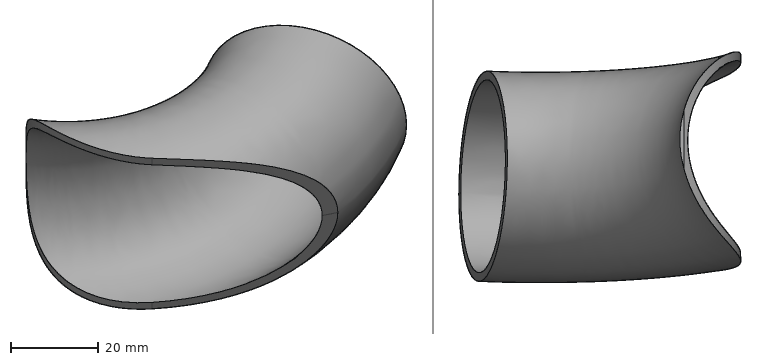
import math
import cadquery as cq


OUTER_DIAMETER = 48.3
WALL = 2.0
BEND_RADIUS = 57.0

OUTER_RADIUS = OUTER_DIAMETER / 2
INNER_RADIUS = OUTER_RADIUS - WALL

TRIM_ARC_RADIUS = BEND_RADIUS / 2
TRIM_TANGENT_X = 35.3
CLEARANCE = 1.0


def parabola_y(x_a, x_b):
    """Y of the point where the parabola tangents at x_a and x_b meet; equal arguments give the curve.

    The mating pipe runs along X, tangent to the bend centreline. Two pipes of equal radius meet
    where the distance from the bend axis plus the depth below it is twice the bend radius.
    """
    return x_a * x_b / (4 * BEND_RADIUS) - BEND_RADIUS


def make_elbow():
    """Quarter-turn pipe bend from the square end (Y = 0) to the plane X = 0."""
    return (
        cq.Workplane("XZ")
        .center(BEND_RADIUS, 0)
        .circle(OUTER_RADIUS)
        .circle(INNER_RADIUS)
        .revolve(90, (-BEND_RADIUS, 0), (-BEND_RADIUS, -1))
    )


def make_trim_prism():
    """Prism along Z that holds the part of the elbow to keep."""
    x_tangent = TRIM_TANGENT_X
    x_far = BEND_RADIUS + OUTER_RADIUS + CLEARANCE

    tangent_point = (x_tangent, parabola_y(x_tangent, x_tangent))
    far_point = (x_far, parabola_y(x_far, x_far))
    control_point = ((x_tangent + x_far) / 2, parabola_y(x_tangent, x_far))

    slope_angle = math.atan(x_tangent / (2 * BEND_RADIUS))
    centre_x = tangent_point[0] - TRIM_ARC_RADIUS * math.sin(slope_angle)
    centre_y = tangent_point[1] + TRIM_ARC_RADIUS * math.cos(slope_angle)

    start_angle = math.acos(-centre_x / TRIM_ARC_RADIUS)
    end_angle = math.pi / 2 - slope_angle
    middle_angle = (start_angle + end_angle) / 2

    def arc_point(angle):
        return (
            centre_x + TRIM_ARC_RADIUS * math.cos(angle),
            centre_y - TRIM_ARC_RADIUS * math.sin(angle),
        )

    return (
        cq.Workplane("XY")
        .moveTo(0, CLEARANCE)
        .lineTo(*arc_point(start_angle))
        .threePointArc(arc_point(middle_angle), tangent_point)
        .bezier([control_point, far_point], includeCurrent=True)
        .lineTo(x_far, CLEARANCE)
        .close()
        .extrude(OUTER_RADIUS + CLEARANCE, both=True)
    )


result = make_elbow().intersect(make_trim_prism())